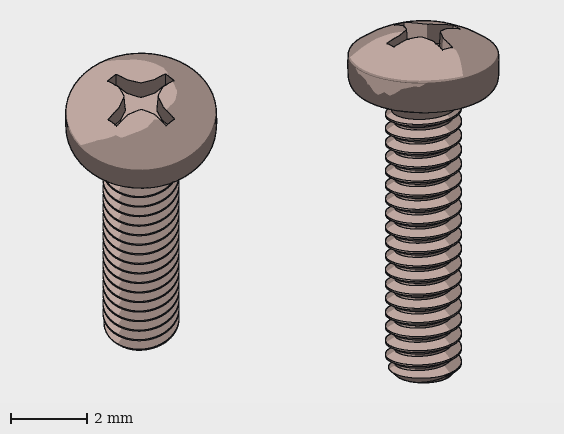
import cadquery as cq
import math


shank_length = 8.0
major_radius = 1.0
pitch = 0.4
thread_depth = 0.245
core_radius = major_radius - thread_depth
flank_angle = 30.0
crest_width = pitch / 8
crest_z_at_x_axis = -0.07
ridge_overlap = 0.05
envelope_clearance = 0.1

neck_top_radius = 1.05
neck_length = 0.85
neck_mid_radius = 0.885
neck_mid_z = -0.43

head_radius = 1.995
shoulder_radius = 1.975
rim_radius = 1.95
seat_radius = 1.57
dome_height = 1.69
rim_z = 1.03
side_top_z = 0.95
side_bottom_z = 0.40
corner_bulge = math.sqrt(0.5)

recess_floor_z = 1.10
recess_taper = 4.0
recess_arm_length = 1.085
recess_arm_half_width = 0.17
recess_wedge_start = 0.66
recess_wedge_angle = 22.0
recess_corner_radius = 0.15


def make_head():
    side_mid_z = (side_top_z + side_bottom_z) / 2
    corner_mid_radius = seat_radius + (shoulder_radius - seat_radius) * corner_bulge
    corner_mid_z = side_bottom_z * (1 - corner_bulge)
    edge_mid_radius = rim_radius + (shoulder_radius - rim_radius) * corner_bulge
    edge_mid_z = side_top_z + (rim_z - side_top_z) * corner_bulge

    dome_rise = dome_height - rim_z
    dome_radius = (rim_radius**2 + dome_rise**2) / (2 * dome_rise)
    dome_mid_radius = rim_radius / 2
    dome_mid_z = dome_height - dome_radius + math.sqrt(dome_radius**2 - dome_mid_radius**2)

    profile = (
        cq.Workplane("YZ")
        .lineTo(seat_radius, 0)
        .threePointArc((corner_mid_radius, corner_mid_z), (shoulder_radius, side_bottom_z))
        .threePointArc((head_radius, side_mid_z), (shoulder_radius, side_top_z))
        .threePointArc((edge_mid_radius, edge_mid_z), (rim_radius, rim_z))
        .threePointArc((dome_mid_radius, dome_mid_z), (0, dome_height))
        .close()
    )
    return profile.revolve(360, (0, 0), (0, 1))


def make_recess_cutter():
    slope = math.tan(math.radians(recess_wedge_angle))
    diagonal = (recess_arm_half_width + recess_wedge_start * slope) / (1 + slope)
    quarter = [
        (recess_arm_length, recess_arm_half_width),
        (recess_wedge_start, recess_arm_half_width),
        (diagonal, diagonal),
        (recess_arm_half_width, recess_wedge_start),
        (recess_arm_half_width, recess_arm_length),
    ]
    outline = []
    for _ in range(4):
        outline += quarter
        quarter = [(-y, x) for x, y in quarter]

    reach = recess_wedge_start - recess_arm_half_width
    inner_corners = cq.selectors.BoxSelector((-reach, -reach, -reach), (reach, reach, reach))
    cross = cq.Sketch().polygon(outline + outline[:1]).vertices(inner_corners).fillet(recess_corner_radius)
    return (
        cq.Workplane("XY", origin=(0, 0, dome_height))
        .placeSketch(cross)
        .extrude(recess_floor_z - dome_height, taper=recess_taper)
    )


def make_threaded_shank():
    root_radius = core_radius - ridge_overlap
    crest_half = crest_width / 2
    root_half = crest_half + (major_radius - root_radius) * math.tan(math.radians(flank_angle))

    start_z = crest_z_at_x_axis - pitch
    helix = cq.Wire.makeHelix(pitch, pitch, root_radius).moved(cq.Location((0, 0, start_z)))
    ridge_turn = (
        cq.Workplane("XZ")
        .polyline([
            (root_radius, start_z - root_half),
            (major_radius, start_z - crest_half),
            (major_radius, start_z + crest_half),
            (root_radius, start_z + root_half),
        ])
        .close()
        .sweep(cq.Workplane(obj=helix), isFrenet=True)
    )
    core = cq.Workplane("XY").circle(core_radius).extrude(-shank_length)

    envelope = (
        cq.Workplane("XY")
        .circle(major_radius + envelope_clearance)
        .extrude(-shank_length)
        .faces("<Z")
        .chamfer(thread_depth + envelope_clearance)
    )
    shank = core
    for turn in range(math.ceil(shank_length / pitch) + 1):
        ridge = ridge_turn.translate((0, 0, -turn * pitch))
        shank = shank.union(ridge.intersect(envelope), clean=False)
    return shank


def make_neck():
    profile = (
        cq.Workplane("YZ")
        .lineTo(neck_top_radius, 0)
        .threePointArc((neck_mid_radius, neck_mid_z), (core_radius, -neck_length))
        .lineTo(0, -neck_length)
        .close()
    )
    return profile.revolve(360, (0, 0), (0, 1))


head = make_head().cut(make_recess_cutter())
result = make_threaded_shank().union(make_neck()).union(head)